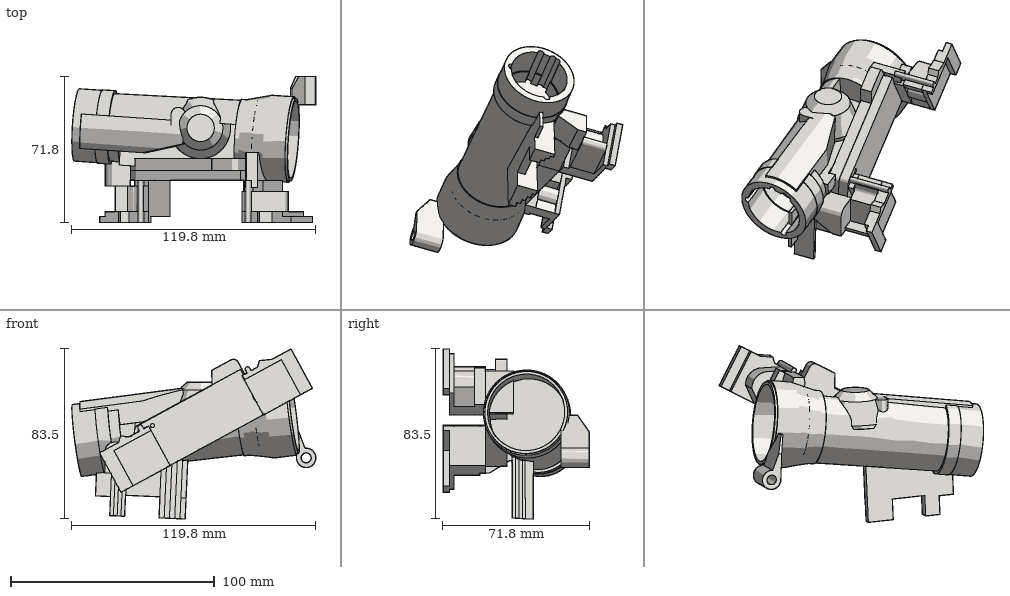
import cadquery as cq
import math

SCOPE_PITCH = 7.4
SCOPE_YAW = 3.9
EYEPIECE_CENTRE = (2.6, 47.9, 38.6)

RING_START = 11.5
RING_END = 17.7
NOTCH_START = 22.8
SEAM_START = 80.5
SEAM_END = 82.9
CONE_END = 95.3
RIM_START = 106.2
RIM_END = 107.3

EYEPIECE_R = 17.9
RING_R = 18.1
TUBE_R = 16.7
TUBE_END_R = 17.6
SEAM_R = 18.1
OBJECTIVE_R = 21.1
RIM_R = 20.4
OBJECTIVE_BORE_R = 18.9
OBJECTIVE_BORE_DEPTH = 18.0

BORE_R = 14.3
BORE_STEP_DEPTH = 14.4
INNER_BORE_R = 13.7
BORE_DEPTH = 22.2
KEYWAY_R = 1.5
KEYWAY_ANGLES = (5.0, 91.0, 117.0, 127.0, 252.0)

PAD_R = 18.8
PAD_START = 4.1
PAD_NEAR_Y = -11.4
PAD_FAR_Y = 5.5
PAD_TAPER_START = 35.4
PAD_END = 55.1
PAD_TIP_Y = -5.8
SHELF_Z = 4.8
SHELF_Y = -18.2
SHELF_THICKNESS = 6.4
DEEP_NOTCH_START = 68.3

DOME_CENTRE = (63.3, 46.5)
DOME_TOP_Z = 67.2
DOME_EDGE_Z = 63.3
DOME_SKIRT_Z = 52.1
DOME_FOOT_Z = 50.3
DOME_TOP_R = 6.7
DOME_EDGE_R = 10.9
DOME_SKIRT_R = 15.1

BOSS_CENTRE = (52.3, 53.1)
BOSS_R = 3.5
BOSS_FRONT_Y = 47.5
BOSS_TOP_Z = 63.3
BOSS_FOOT_Z = 52.7

BLOCK_X = (16.4, 28.8)
BLOCK_Y = (18.0, 36.0)
BLOCK_Z = (22.5, 37.8)
BLOCK_ROUND = 4.4
BLOCK_CUT_START_Y = 22.7
BLOCK_CUT_Y = 32.7
BLOCK_CUT_Z = 28.8

LUG_X = 115.0
LUG_Z = 30.1
LUG_R = 4.8
LUG_HOLE_R = 2.4
LUG_Y = (57.8, 71.8)
STRAP_LEFT_X = 107.3
STRAP_FOLD_X = 109.9
STRAP_TOP_X = 108.2
STRAP_TOP_Z = 51.0
STRAP_FOOT = (114.6, 34.8)
STRAP_CUT_Y = 65.9
STRAP_CUT_Z = 42.8

RAIL_TILT = 28.5
RAIL_END_X = 31.0
RAIL_FOOT_X = 28.8
RAIL_SEAT_Z = 40.1
RAIL_SEAT_END_X = 71.9
RAIL_BOTTOM_Z = 25.9
RAIL_END_U = 107.9
RAIL_V = (0.1, 25.0)
RAIL_FRONT_Y = 20.7
RAIL_LAYER_Y = 25.6
RAIL_BACK_Y = 31.4
RAIL_ROUND = 2.9
RAIL_LAYER_INSET = 0.2
EAR_FOOT_U = 91.8
EAR_LEFT_U = 95.2
EAR_RIGHT_U = 108.6
EAR_TOP_V = 31.4
EAR_ROUND = 2.6
RAIL_HOLE = (39.7, 45.9)
RAIL_HOLE_R = 1.0
RAIL_HOLE_DEPTH = 2.4

LOWER_CLAMP_U = 55.0
UPPER_CLAMP_U = 107.0
CLAMP_LENGTH = 27.5
CLAMP_WIDTH = 22.0
LIP_THICKNESS = 3.1
LIP_INNER_W = 20.7
LIP_INNER_V = 19.7
RECESS_Y = 3.0
PLATE_BACK_Y = 5.4
LOWER_PLATE_LENGTH = 24.5
UPPER_PLATE_LENGTH = 22.5
TAB_START_W = 8.6
TAB_PEAK_W = 11.0
TAB_BASE_W = 16.8
TAB_HEIGHT = 2.4
HOOK_W = 4.0
HOOK_V = 23.5
HOOK_R = 1.2
LOWER_PILLAR_Y = 18.0
LOWER_FOOT_LENGTH = 7.9
UPPER_PILLAR_Y = 15.3
UPPER_FOOT_LENGTH = 10.8
UPPER_FOOT_WIDTH = 20.4
ARM_U = (108.0, 109.7)
ARM_TOP_X = (85.8, 91.1)
ARM_Y = (17.4, 34.5)

LOWER_PILLAR_LEDGE = (21.3, 24.5)
LOWER_PILLAR_BOTTOM_Z = 21.5
LOWER_PILLAR_ROUND = 2.6
LOWER_PILLAR_WALL_X = 27.3
LOWER_PILLAR_WALL_TOP_Z = 37.8
LOWER_PILLAR_SLOPE_END = (30.3, 39.1)
LOWER_PILLAR_GROOVE_R = 2.6
LOWER_PILLAR_GROOVE_END = (32.6, 42.0)
LOWER_PILLAR_SHOULDER_Z = 43.7
UPPER_PILLAR_TOP_Z = 72.7
UPPER_PILLAR_TOP_X = (88.1, 98.3)
UPPER_PILLAR_ROUND = 8.0
UPPER_PILLAR_BOTTOM_W = 9.0
UPPER_PILLAR_BULGE = (93.2, 61.4)
UPPER_PILLAR_BULGE_R = 4.5
UPPER_PILLAR_SHOULDER_X = 86.9

BRACKET_TURN = 2.6
BRACKET_Y = (33.8, 44.2)
BRACKET_CORNER_X = 55.7
WEB_LEFT = -44.6
WEB_BOTTOM_Z = 10.3
WEB_TOP_Z = 30.0
OUTER_FLANGE_Z = 9.3
SHORT_LEG = (-37.2, -29.7)
SHORT_LEG_TOP_Z = 36.5
LONG_LEG = (-13.0, 0.0)
WEB_FRONT_Y = 40.1
FLANGE_FRONT_Y = 42.5
SHORT_LEG_RIBS = 4
LONG_LEG_RIBS = 5
RIB_STEP_Y = 1.7


def prism(points, y_from, y_to):
    """Extrude an outline in the X-Z plane from y_from to y_to."""
    outline = cq.Workplane("XZ", origin=(0, y_from, 0)).polyline(points).close()
    return outline.extrude(y_from - y_to)


def slab(x_from, x_to, y_from, y_to, z_from, z_to):
    size = (x_to - x_from, y_to - y_from, z_to - z_from)
    return cq.Workplane("XY").box(*size, centered=False).translate((x_from, y_from, z_from))


def rod(x, z, radius, y_from, y_to):
    return cq.Workplane("XZ", origin=(x, y_from, z)).circle(radius).extrude(y_from - y_to)


def place_scope(shape):
    tilted = shape.rotate((0, 0, 0), (0, 1, 0), -SCOPE_PITCH).rotate((0, 0, 0), (0, 0, 1), -SCOPE_YAW)
    return tilted.translate(EYEPIECE_CENTRE)


def place_rail(shape):
    return shape.rotate((0, 0, 0), (0, 1, 0), -RAIL_TILT)


def tube_shell():
    """Turned outline of the eyepiece, tube and objective."""
    outline = [
        (0, 0),
        (0, EYEPIECE_R),
        (RING_START, EYEPIECE_R),
        (RING_START, RING_R),
        (RING_END, RING_R),
        (RING_END, TUBE_R),
        (SEAM_START, TUBE_END_R),
        (SEAM_START, SEAM_R),
        (SEAM_END, SEAM_R),
        (CONE_END, OBJECTIVE_R),
        (RIM_START, OBJECTIVE_R),
        (RIM_START, RIM_R),
        (RIM_END, RIM_R),
        (RIM_END, 0),
    ]
    return cq.Workplane("XY").polyline(outline).close().revolve(360, (0, 0, 0), (1, 0, 0))


def top_pad():
    """Raised pad capped by a cylinder around the tube axis."""
    plan = [
        (PAD_START, PAD_NEAR_Y),
        (PAD_TAPER_START, PAD_NEAR_Y),
        (PAD_END, PAD_TIP_Y),
        (PAD_END, PAD_FAR_Y),
        (PAD_START, PAD_FAR_Y),
    ]
    column = cq.Workplane("XY", origin=(0, 0, EYEPIECE_R / 2)).polyline(plan).close().extrude(PAD_R)
    return column.intersect(cq.Workplane("YZ").circle(PAD_R).extrude(PAD_END))


def shelf_notch():
    """Space above the near-side shelf, bounded by the edge of the pad."""
    plan = [
        (NOTCH_START, -OBJECTIVE_R),
        (NOTCH_START, PAD_NEAR_Y),
        (PAD_TAPER_START, PAD_NEAR_Y),
        (PAD_END, PAD_TIP_Y),
        (DEEP_NOTCH_START, PAD_TIP_Y),
        (DEEP_NOTCH_START, PAD_FAR_Y),
        (SEAM_START, PAD_FAR_Y),
        (SEAM_START, -OBJECTIVE_R),
    ]
    return cq.Workplane("XY", origin=(0, 0, SHELF_Z)).polyline(plan).close().extrude(OBJECTIVE_R)


def eyepiece_bore():
    bore = cq.Workplane("YZ").circle(BORE_R).extrude(BORE_STEP_DEPTH)
    bore = bore.union(cq.Workplane("YZ").circle(INNER_BORE_R).extrude(BORE_DEPTH))
    for angle in KEYWAY_ANGLES:
        turn = math.radians(angle)
        centre = (BORE_R * math.cos(turn), BORE_R * math.sin(turn))
        bore = bore.union(cq.Workplane("YZ").center(*centre).circle(KEYWAY_R).extrude(BORE_DEPTH))
    return bore


def objective_bore():
    mouth = cq.Workplane("YZ", origin=(RIM_END, 0, 0))
    return mouth.circle(OBJECTIVE_BORE_R).extrude(-OBJECTIVE_BORE_DEPTH)


def scope_body():
    shelf = slab(NOTCH_START, SEAM_START, SHELF_Y, 0, SHELF_Z - SHELF_THICKNESS, SHELF_Z)
    body = tube_shell().cut(shelf_notch()).union(shelf).union(top_pad())
    return place_scope(body)


def adjuster_dome():
    outline = [
        (0, DOME_FOOT_Z),
        (DOME_SKIRT_R, DOME_FOOT_Z),
        (DOME_SKIRT_R, DOME_SKIRT_Z),
        (DOME_EDGE_R, DOME_EDGE_Z),
        (DOME_TOP_R, DOME_TOP_Z),
        (0, DOME_TOP_Z),
    ]
    dome = cq.Workplane("XZ").polyline(outline).close().revolve(360, (0, 0, 0), (0, 1, 0))
    return dome.translate((*DOME_CENTRE, 0))


def arched_boss():
    x, y = BOSS_CENTRE
    height = BOSS_TOP_Z - BOSS_FOOT_Z
    arch = cq.Workplane("XY", origin=(x, y, BOSS_FOOT_Z)).circle(BOSS_R).extrude(height)
    return arch.union(slab(x - BOSS_R, x + BOSS_R, BOSS_FRONT_Y, y, BOSS_FOOT_Z, BOSS_TOP_Z))


def side_block():
    """Block with a rounded upper edge and a sloping underside."""
    block = slab(*BLOCK_X, *BLOCK_Y, *BLOCK_Z).edges("<X and >Z").fillet(BLOCK_ROUND)
    slope = [
        (BLOCK_CUT_START_Y, BLOCK_Z[0]),
        (BLOCK_CUT_Y, BLOCK_CUT_Z),
        (BLOCK_Y[1], BLOCK_CUT_Z),
        (BLOCK_Y[1], BLOCK_Z[0]),
    ]
    underside = cq.Workplane("YZ").polyline(slope).close().extrude(BLOCK_X[1])
    return block.cut(underside)


def hinge_lug():
    strap = [
        (STRAP_FOLD_X, STRAP_CUT_Z),
        (STRAP_LEFT_X, STRAP_TOP_Z),
        (STRAP_TOP_X, STRAP_TOP_Z),
        STRAP_FOOT,
        (LUG_X, LUG_Z),
        (LUG_X - LUG_R, LUG_Z),
    ]
    corner = [
        (STRAP_CUT_Y, STRAP_TOP_Z),
        (LUG_Y[1], STRAP_TOP_Z),
        (LUG_Y[1], STRAP_CUT_Z),
    ]
    lug = prism(strap, *LUG_Y).cut(cq.Workplane("YZ").polyline(corner).close().extrude(LUG_X))
    return lug.union(rod(LUG_X, LUG_Z, LUG_R, *LUG_Y)).cut(rod(LUG_X, LUG_Z, LUG_HOLE_R, *LUG_Y))


def make_housing(neighbours):
    """Scope housing, cut back above the rail and hollowed wherever a neighbouring body sits in it."""
    housing = scope_body().union(adjuster_dome()).union(arched_boss()).union(side_block()).union(hinge_lug())
    housing = housing.cut(place_scope(eyepiece_bore())).cut(place_scope(objective_bore()))
    rail_seat = slab(RAIL_END_X, RAIL_SEAT_END_X, RAIL_FRONT_Y, RAIL_BACK_Y, RAIL_SEAT_Z, DOME_TOP_Z)
    housing = housing.cut(rail_seat)
    for neighbour in neighbours:
        housing = housing.cut(neighbour)
    return housing


def rail_point(u, v):
    """X and Z of a point given along and across the rail."""
    turn = math.radians(RAIL_TILT)
    return (u * math.cos(turn) - v * math.sin(turn), u * math.sin(turn) + v * math.cos(turn))


def rail_layer(v_top, y_from, y_to):
    """One layer of the rail, with a steep lower end and a level corner below it."""
    turn = math.radians(RAIL_TILT)
    v_low = RAIL_V[0]
    corner_x = (RAIL_BOTTOM_Z * math.cos(turn) - v_low) / math.sin(turn)
    top_z = (v_top + RAIL_END_X * math.sin(turn)) / math.cos(turn)
    outline = [
        (RAIL_FOOT_X, RAIL_BOTTOM_Z),
        (corner_x, RAIL_BOTTOM_Z),
        rail_point(RAIL_END_U, v_low),
        rail_point(RAIL_END_U, v_top),
        (RAIL_END_X, top_z),
    ]
    return prism(outline, y_from, y_to).faces("<X").edges(">Z").fillet(RAIL_ROUND)


def make_rail():
    """Two-layer rail whose back layer carries a raised ear."""
    v_low, v_high = RAIL_V
    layer_v = v_high - RAIL_LAYER_INSET
    front = rail_layer(v_high, RAIL_FRONT_Y, RAIL_LAYER_Y)
    back = rail_layer(layer_v, RAIL_LAYER_Y, RAIL_BACK_Y)
    ear_outline = [
        rail_point(EAR_FOOT_U, v_low),
        rail_point(EAR_FOOT_U, layer_v),
        rail_point(EAR_LEFT_U, EAR_TOP_V),
        rail_point(EAR_RIGHT_U, EAR_TOP_V),
        rail_point(EAR_RIGHT_U, v_low),
    ]
    ear = prism(ear_outline, RAIL_LAYER_Y, RAIL_BACK_Y).edges("|Y and >Z").fillet(EAR_ROUND)
    hole = rod(*RAIL_HOLE, RAIL_HOLE_R, RAIL_FRONT_Y, RAIL_FRONT_Y + RAIL_HOLE_DEPTH)
    return front.union(back).union(ear).cut(hole)


def clamp_plate(length):
    """Plate with an L-shaped raised lip along its long edge and outer end."""
    plate = slab(0, length, RECESS_Y, PLATE_BACK_Y, 0, CLAMP_WIDTH)
    end_lip = slab(LIP_INNER_W, CLAMP_LENGTH, 0, LIP_THICKNESS, 0, CLAMP_WIDTH)
    long_lip = slab(0, CLAMP_LENGTH, 0, LIP_THICKNESS, LIP_INNER_V, CLAMP_WIDTH)
    return plate.union(end_lip).union(long_lip)


def clamp_tab(mirrored):
    """Triangular tab; on the mirrored clamp its peak lies towards the outer end."""
    if mirrored:
        outline = [(TAB_PEAK_W, 0), (TAB_BASE_W - TAB_HEIGHT, TAB_HEIGHT), (TAB_BASE_W, 0)]
    else:
        outline = [(TAB_START_W, 0), (TAB_PEAK_W, TAB_HEIGHT), (TAB_BASE_W, 0)]
    return prism(outline, 0, PLATE_BACK_Y).translate((0, 0, CLAMP_WIDTH))


def make_clamp(inner_u, mirrored, plate_length, foot):
    """Plate, tab, hook and foot of one clamp."""
    hook = rod(HOOK_W, HOOK_V, HOOK_R, 0, RAIL_FRONT_Y)
    hook_web = slab(HOOK_W - HOOK_R, HOOK_W + HOOK_R, 0, RAIL_FRONT_Y, LIP_INNER_V, HOOK_V)
    clamp = clamp_plate(plate_length).union(clamp_tab(mirrored)).union(foot).union(hook_web).union(hook)
    if mirrored:
        clamp = clamp.mirror("YZ")
    return place_rail(clamp.translate((inner_u, 0, 0)))


def make_lower_clamp():
    """Clamp with a stepped pillar: a low ledge, an upright wall and a sloping shoulder."""
    foot = slab(0, LOWER_FOOT_LENGTH, LOWER_PILLAR_Y, RAIL_FRONT_Y, 0, CLAMP_WIDTH)
    ledge_x, ledge_z = LOWER_PILLAR_LEDGE
    foot_z = LOWER_PILLAR_BOTTOM_Z
    outline = (
        cq.Workplane("XZ", origin=(0, PLATE_BACK_Y, 0))
        .moveTo(ledge_x, ledge_z)
        .lineTo(LOWER_PILLAR_WALL_X, ledge_z)
        .lineTo(LOWER_PILLAR_WALL_X, LOWER_PILLAR_WALL_TOP_Z)
        .lineTo(*LOWER_PILLAR_SLOPE_END)
        .radiusArc(LOWER_PILLAR_GROOVE_END, -LOWER_PILLAR_GROOVE_R)
        .lineTo(LOWER_PILLAR_GROOVE_END[0], LOWER_PILLAR_SHOULDER_Z)
        .lineTo(*rail_point(LOWER_CLAMP_U, CLAMP_WIDTH))
        .lineTo(*rail_point(LOWER_CLAMP_U, 0))
        .lineTo(foot_z / math.tan(math.radians(RAIL_TILT)), foot_z)
        .lineTo(ledge_x + LOWER_PILLAR_ROUND, foot_z)
        .radiusArc((ledge_x, foot_z + LOWER_PILLAR_ROUND), LOWER_PILLAR_ROUND)
        .close()
    )
    pillar = outline.extrude(PLATE_BACK_Y - LOWER_PILLAR_Y)
    return make_clamp(LOWER_CLAMP_U, True, LOWER_PLATE_LENGTH, foot).union(pillar)


def make_upper_clamp():
    """Clamp with a level-topped pillar rounded at its outer side, and an arm beside the rail."""
    foot = slab(0, UPPER_FOOT_LENGTH, UPPER_PILLAR_Y, RAIL_FRONT_Y, 0, UPPER_FOOT_WIDTH)
    arm_outline = [
        rail_point(ARM_U[0], 0),
        rail_point(ARM_U[0], UPPER_FOOT_WIDTH),
        (ARM_TOP_X[0], UPPER_PILLAR_TOP_Z),
        (ARM_TOP_X[1], UPPER_PILLAR_TOP_Z),
        rail_point(ARM_U[1], 0),
    ]
    arm = prism(arm_outline, *ARM_Y)
    top_left, top_right = UPPER_PILLAR_TOP_X
    bulge_x, bulge_z = UPPER_PILLAR_BULGE
    side_x = top_right + UPPER_PILLAR_ROUND
    outline = (
        cq.Workplane("XZ", origin=(0, PLATE_BACK_Y, 0))
        .moveTo(top_left, UPPER_PILLAR_TOP_Z)
        .lineTo(top_right, UPPER_PILLAR_TOP_Z)
        .radiusArc((side_x, UPPER_PILLAR_TOP_Z - UPPER_PILLAR_ROUND), UPPER_PILLAR_ROUND)
        .lineTo(*rail_point(UPPER_CLAMP_U + UPPER_PILLAR_BOTTOM_W, 0))
        .lineTo(*rail_point(UPPER_CLAMP_U, 0))
        .lineTo(bulge_x, bulge_z - UPPER_PILLAR_BULGE_R)
        .threePointArc((bulge_x - UPPER_PILLAR_BULGE_R, bulge_z), (bulge_x, bulge_z + UPPER_PILLAR_BULGE_R))
        .lineTo(UPPER_PILLAR_SHOULDER_X, bulge_z + UPPER_PILLAR_BULGE_R)
        .lineTo(*rail_point(UPPER_CLAMP_U, CLAMP_WIDTH))
        .close()
    )
    pillar = outline.extrude(PLATE_BACK_Y - UPPER_PILLAR_Y)
    return make_clamp(UPPER_CLAMP_U, False, UPPER_PLATE_LENGTH, foot).union(arm).union(pillar)


def ribbed_leg(x_range, ribs, top_z):
    """Leg whose front steps back rib by rib towards +X."""
    x_left, x_right = x_range
    y_front, y_back = BRACKET_Y
    rib_width = (x_right - x_left) / ribs
    leg = cq.Workplane("XY")
    for rib in range(ribs):
        left = x_left + rib * rib_width
        leg = leg.union(slab(left, left + rib_width, y_front + rib * RIB_STEP_Y, y_back, 0, top_z))
    return leg


def make_bracket():
    """Thin web with an outer flange and two ribbed legs."""
    y_back = BRACKET_Y[1]
    web = slab(SHORT_LEG[0], LONG_LEG[1], WEB_FRONT_Y, y_back, WEB_BOTTOM_Z, WEB_TOP_Z)
    flange = slab(WEB_LEFT, SHORT_LEG[0], FLANGE_FRONT_Y, y_back, OUTER_FLANGE_Z, WEB_TOP_Z)
    short_leg = ribbed_leg(SHORT_LEG, SHORT_LEG_RIBS, SHORT_LEG_TOP_Z)
    long_leg = ribbed_leg(LONG_LEG, LONG_LEG_RIBS, WEB_TOP_Z)
    bracket = web.union(flange).union(short_leg).union(long_leg)
    return bracket.rotate((0, 0, 0), (0, 1, 0), BRACKET_TURN).translate((BRACKET_CORNER_X, 0, 0))


rail = make_rail()
lower_clamp = make_lower_clamp()
upper_clamp = make_upper_clamp().cut(rail)
bracket = make_bracket()
housing = make_housing([rail, lower_clamp, upper_clamp, bracket])

result = cq.Compound.makeCompound(
    [housing.val(), rail.val(), lower_clamp.val(), upper_clamp.val(), bracket.val()]
)